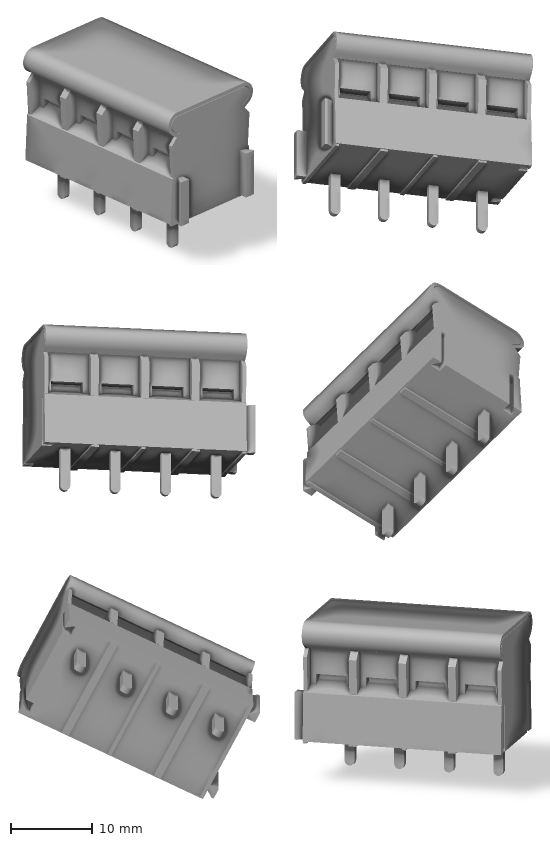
import cadquery as cq
import math


overall_length = 26.58
rib_length = 1.2
body_length = overall_length - rib_length
pole_count = 4
poles_per_module = 2
pole_pitch = body_length / pole_count

cover_top = 15.1
cover_half_width = 14.7 / 2
cover_thickness = 0.5
bend_inner_radius = 2.2 / 2
bend_outer_radius = bend_inner_radius + cover_thickness
bend_y = cover_half_width - bend_outer_radius
bend_z = cover_top - bend_outer_radius
lip_angle = math.radians(34)
head_gap = 0.08

base_half_width = 6.96
wall_half_width = 6.65
wall_height = 6.17
partition_foot_half_width = 6.45
shoulder_half_width = 6.75
shoulder_height = 10.7
shoulder_angle = math.radians(47)

partition_thickness = 0.98
floor_angle = math.radians(22)
bay_back_y = 4.95
bay_width = pole_pitch - partition_thickness

opening_width = 4
opening_top = 8.19
clamp_radius = 0.8
clamp_length = 3.75
clamp_z = 7.2

pin_width = 1.25
pin_depth = 0.85
pin_length = 5.3
pin_y = -3.5

foot_height = 0.27
foot_half_width = 6.78

dovetail_height = 6.03
dovetail_inner_y = 5.0
dovetail_neck_y = 5.65
dovetail_outer_y = 6.33
dovetail_lip = 0.3


def floor_height(y):
    """Height of the sloping bay floor, which rises inwards from the top of the outer wall."""
    return wall_height + (wall_half_width - y) * math.tan(floor_angle)


def floor_y(z):
    """Distance from the symmetry plane at which the bay floor reaches height z."""
    return wall_half_width - (z - wall_height) / math.tan(floor_angle)


def on_bend(radius, angle):
    """Point at a given angle round the centre of the cover bend."""
    return (bend_y + radius * math.cos(angle), bend_z + radius * math.sin(angle))


def lip_end(radius):
    """Where the straight lip, tangent to a bend of this radius, meets the shoulder slope."""
    start_y, start_z = on_bend(radius, lip_angle - math.pi / 2)
    shoulder_slope = math.tan(shoulder_angle)
    lip_slope = math.tan(lip_angle)
    shoulder_z_at_start = shoulder_height + (shoulder_half_width - start_y) * shoulder_slope
    step_in = (start_z - shoulder_z_at_start) / (shoulder_slope + lip_slope)
    return (start_y - step_in, start_z - step_in * lip_slope)


def mirrored(point):
    return (-point[0], point[1])


def head_outline(radius, lower_points):
    """Closed symmetric section: lower points, then lips, bends and a flat top."""
    lip = lip_end(radius)
    tangent = on_bend(radius, lip_angle - math.pi / 2)
    middle = on_bend(radius, lip_angle / 2)
    top = on_bend(radius, math.pi / 2)
    sketch = cq.Workplane("YZ").moveTo(*mirrored(lip))
    for point in [mirrored(p) for p in reversed(lower_points)] + lower_points:
        sketch = sketch.lineTo(*point)
    return (
        sketch.lineTo(*lip)
        .lineTo(*tangent)
        .threePointArc(middle, top)
        .lineTo(*mirrored(top))
        .threePointArc(mirrored(middle), mirrored(tangent))
        .close()
    )


def both_sides(solid):
    return solid.union(solid.mirror("XZ"))


def housing():
    side = [
        (base_half_width, 0),
        (wall_half_width, wall_height),
        (partition_foot_half_width, floor_height(partition_foot_half_width)),
        (shoulder_half_width, shoulder_height),
    ]
    return head_outline(bend_inner_radius - head_gap, side).extrude(body_length)


def cover():
    outer = head_outline(bend_outer_radius, []).extrude(body_length)
    cavity = head_outline(bend_inner_radius, [(shoulder_half_width, shoulder_height)])
    return outer.cut(cavity.extrude(body_length))


def wire_bay(centre_x):
    """Open bay above the sloping floor, plus the wire opening behind it, on the +Y side."""
    bay_top = lip_end(bend_inner_radius)[1]
    bay = (
        cq.Workplane("YZ", origin=(centre_x - bay_width / 2, 0, 0))
        .polyline([
            (bay_back_y, floor_height(bay_back_y)),
            (base_half_width, floor_height(base_half_width)),
            (base_half_width, bay_top),
            (bay_back_y, bay_top),
        ])
        .close()
        .extrude(bay_width)
    )
    clamp_y = floor_y(clamp_z) - clamp_radius
    opening_back_y = clamp_y
    opening = (
        cq.Workplane("YZ", origin=(centre_x - opening_width / 2, 0, 0))
        .polyline([
            (opening_back_y, floor_height(opening_back_y)),
            (bay_back_y, floor_height(bay_back_y)),
            (bay_back_y, opening_top),
            (opening_back_y, opening_top),
        ])
        .close()
        .extrude(opening_width)
    )
    clamp_bar = (
        cq.Workplane("YZ", origin=(centre_x - clamp_length / 2, 0, 0))
        .center(clamp_y, clamp_z)
        .circle(clamp_radius)
        .extrude(clamp_length)
    )
    return bay.union(opening.cut(clamp_bar))


def pin(centre_x):
    """Flat pin with a full round tip, rooted inside the housing."""
    tip_radius = pin_width / 2
    root_z = wall_height / 2
    tip_start_z = tip_radius - pin_length
    return (
        cq.Workplane("XZ", origin=(centre_x, pin_y, 0))
        .moveTo(-tip_radius, root_z)
        .lineTo(-tip_radius, tip_start_z)
        .threePointArc((0, -pin_length), (tip_radius, tip_start_z))
        .lineTo(tip_radius, root_z)
        .close()
        .extrude(pin_depth / 2, both=True)
    )


def foot(partition_index):
    """Foot under a partition; the last partition of each module has only its -X half."""
    centre_x = partition_index * pole_pitch
    start_x = centre_x - partition_thickness / 2
    ends_module = partition_index % poles_per_module == 0
    length = partition_thickness / 2 if ends_module else partition_thickness
    return cq.Workplane("XY", origin=(start_x, 0, -foot_height)).box(
        length, 2 * foot_half_width, foot_height, centered=(False, True, False)
    )


def dovetail(start_x):
    """One-sided dovetail on the +Y side, narrow at start_x and wide at its +X face."""
    return (
        cq.Workplane("XY", origin=(start_x, 0, 0))
        .polyline([
            (0, dovetail_inner_y),
            (rib_length, dovetail_inner_y),
            (rib_length, dovetail_outer_y),
            (rib_length - dovetail_lip, dovetail_outer_y),
            (0, dovetail_neck_y),
        ])
        .close()
        .extrude(dovetail_height)
    )


result = housing()

for pole in range(pole_count):
    pole_x = (pole + 0.5) * pole_pitch
    result = result.cut(both_sides(wire_bay(pole_x)))
    result = result.union(pin(pole_x))

for partition in range(1, pole_count + 1):
    result = result.union(foot(partition))

result = result.cut(both_sides(dovetail(0)))
result = result.union(both_sides(dovetail(body_length)))
result = result.union(cover())